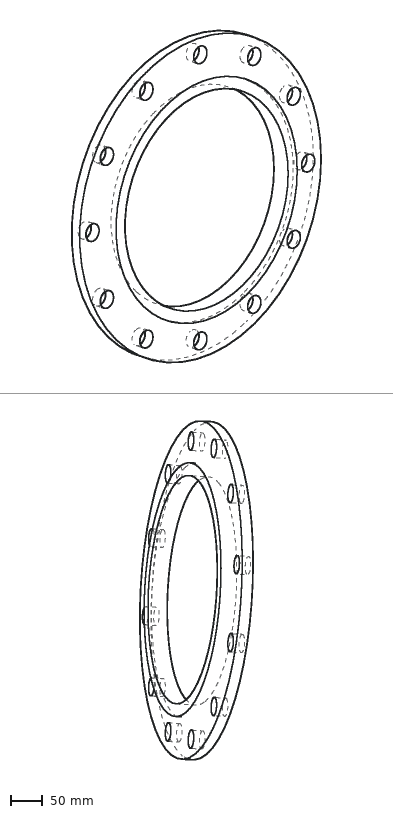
import cadquery as cq
import math

outer_diameter = 533.5
bore_diameter = 360.0
flange_thickness = 18.0
total_thickness = 32.0

hub_diameter = 400.0
root_fillet_radius = 7.5

bolt_count = 12
bolt_circle_diameter = 476.5
bolt_hole_diameter = 29.0


def disc(diameter, length):
    """Solid disc that starts at X = 0 and extends toward +X."""
    return cq.Workplane("YZ").circle(diameter / 2).extrude(length)


def bolt_holes():
    """Ring of cutting cylinders, the first one on the Y axis."""
    return (
        cq.Workplane("YZ")
        .polarArray(bolt_circle_diameter / 2, 0, 360, bolt_count)
        .circle(bolt_hole_diameter / 2)
        .extrude(flange_thickness)
    )


def hub_root():
    """Ring around the hub whose outer side is a concave quarter-circle fillet."""
    hub_radius = hub_diameter / 2
    fillet_end = flange_thickness + root_fillet_radius
    fillet_top = hub_radius + root_fillet_radius
    arc_offset = root_fillet_radius * (1 - math.sqrt(0.5))
    return (
        cq.Workplane("XY")
        .moveTo(flange_thickness, hub_radius)
        .lineTo(flange_thickness, fillet_top)
        .threePointArc(
            (flange_thickness + arc_offset, hub_radius + arc_offset),
            (fillet_end, hub_radius),
        )
        .close()
        .revolve(360, (0, 0, 0), (1, 0, 0))
    )


flange = disc(outer_diameter, flange_thickness)
hub = disc(hub_diameter, total_thickness)
bore = disc(bore_diameter, total_thickness)
result = flange.union(hub).union(hub_root()).cut(bore).cut(bolt_holes())